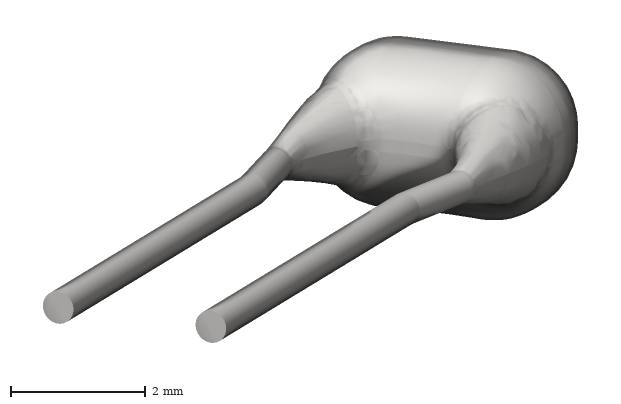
import cadquery as cq
import math

bead_width = 4.0
bead_height = 2.5
edge_radius = 1.15
waist_y = -1.35
waist_radius = 5.0

total_length = 12.5
wire_radius = 0.25
lead_spacing = 2.5
exit_spacing = 3.0
exit_y = -2.91
kink_angle = math.radians(10)
bend_radius = 0.31

flare_sections = [
    (-0.38, 1.06, 0.85, 0.92),
    (-1.19, 1.28, 0.7, 0.76),
    (-1.69, 1.39, 0.54, 0.6),
    (-2.25, 1.48, 0.35, 0.44),
    (exit_y, exit_spacing / 2, wire_radius, wire_radius),
]
flare_blend_radius = 0.38
match_tolerance = 0.01

back_y = edge_radius
tip_y = back_y - total_length

kink_step = (exit_spacing - lead_spacing) / 2
slant_step = kink_step - 2 * bend_radius * (1 - math.cos(kink_angle))
kink_length = slant_step / math.tan(kink_angle) + 2 * bend_radius * math.sin(kink_angle)
kink_end_y = exit_y - kink_length


def make_bead():
    """Block with a concave front face and fully rounded edges."""
    half_width = bead_width / 2
    front_sagitta = waist_radius - math.sqrt(waist_radius**2 - half_width**2)
    front_corner_y = waist_y - front_sagitta
    block = (
        cq.Workplane("XY")
        .workplane(offset=-bead_height / 2)
        .moveTo(-half_width, back_y)
        .lineTo(half_width, back_y)
        .lineTo(half_width, front_corner_y)
        .threePointArc((0, waist_y), (-half_width, front_corner_y))
        .close()
        .extrude(bead_height)
    )
    block = block.edges("|Z").fillet(edge_radius)
    return block.faces("<Z or >Z").edges().fillet(edge_radius)


def make_flare(side):
    """Coating that tapers from the bead down to the wire; side is -1 or 1."""
    wires = []
    for y, centre_x, half_width, half_height in flare_sections:
        section = cq.Workplane("XZ", origin=(side * centre_x, y, 0)).ellipse(half_width, half_height)
        wires.append(section.val())
    return cq.Workplane(cq.Solid.makeLoft(wires))


def make_coating():
    """Bead and both flares as one solid, blended where they meet."""
    coating = make_bead().union(make_flare(-1)).union(make_flare(1))
    flare_faces = [
        face for face in coating.faces().vals()
        if face.BoundingBox().ymin < exit_y + match_tolerance
    ]
    joints = [
        edge for face in flare_faces for edge in face.Edges()
        if edge.BoundingBox().ymin > exit_y + match_tolerance
    ]
    return coating.newObject(joints).fillet(flare_blend_radius)


def make_lead(side):
    """Round wire with two opposite bends that step it towards the middle."""
    exit_x = side * exit_spacing / 2
    straight_x = side * lead_spacing / 2
    arc_run = bend_radius * math.sin(kink_angle)
    arc_step = side * bend_radius * (1 - math.cos(kink_angle))
    half_run = bend_radius * math.sin(kink_angle / 2)
    half_step = side * bend_radius * (1 - math.cos(kink_angle / 2))
    path = (
        cq.Workplane("XY")
        .moveTo(exit_x, exit_y)
        .threePointArc((exit_x - half_step, exit_y - half_run), (exit_x - arc_step, exit_y - arc_run))
        .lineTo(straight_x + arc_step, kink_end_y + arc_run)
        .threePointArc((straight_x + half_step, kink_end_y + half_run), (straight_x, kink_end_y))
        .lineTo(straight_x, tip_y)
    )
    return cq.Workplane("XZ", origin=(exit_x, exit_y, 0)).circle(wire_radius).sweep(path)


coating = make_coating()
leads = [make_lead(side) for side in (-1, 1)]

result = cq.Compound.makeCompound([coating.val(), *[lead.val() for lead in leads]])